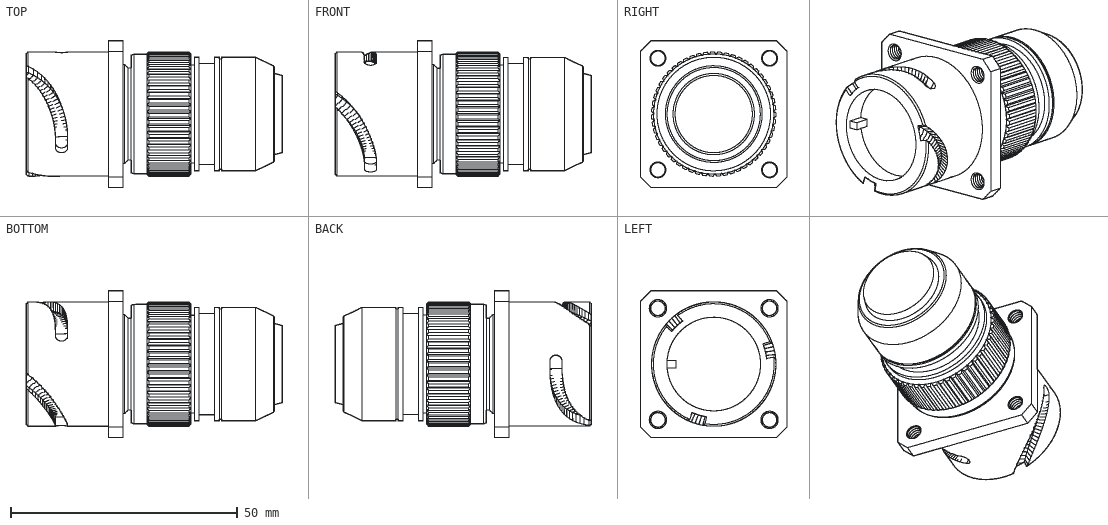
import cadquery as cq
import math

TOTAL_LENGTH = 56.6

SHELL_RADIUS = 13.75
SHELL_CHAMFER = 0.4
BORE_RADIUS = 10.35
BORE_DEPTH = 4.7
KEY_START = 1.25
KEY_TIP_RADIUS = 8.4
KEY_WIDTH = 1.65
KEY_ROOT_OVERLAP = 0.3

FLANGE_START = 18.15
FLANGE_END = 21.4
FLANGE_THICKNESS = FLANGE_END - FLANGE_START
FLANGE_SIDE = 32.5
FLANGE_CORNER = 2.4

HOLE_PITCH = 24.7
HOLE_RADIUS = 1.6
THREAD_RADIUS = 1.9
THREAD_PITCH = 0.7
THREAD_TURNS = math.ceil(FLANGE_THICKNESS / THREAD_PITCH)

FLANGE_BOSS_RADIUS = 11.0
FLANGE_BOSS_END = 21.75
NECK_TAPER_END = 22.5
NECK_RADIUS = 10.2
COLLAR_START = 23.2
COLLAR_RADIUS = 13.25
COLLAR_CHAMFER_LENGTH = 0.55
COLLAR_CHAMFER_DEPTH = 0.2

KNURL_START = 26.65
KNURL_END = 36.4
KNURL_CHAMFER = 0.45
KNURL_GROOVES = 55
KNURL_FIRST_ANGLE = 2.7
KNURL_GROOVE_DEPTH = 0.55
KNURL_GROOVE_WIDTH = 0.8

BACKSHELL_RADIUS = 12.55
BACKSHELL_NECK_RADIUS = 10.85
FRONT_RIB_START = 37.2
FRONT_RIB_END = 38.2
WAIST_RADIUS = 11.2
REAR_RIB_START = 41.6
REAR_RIB_END = 42.7
RELIEF_RADIUS = 12.2
BARREL_START = 43.2
BARREL_END = 50.7
TAPER_END = 54.6
TAPER_END_RADIUS = 10.7
TAIL_START = 54.9
TAIL_LIP_RADIUS = 10.3
TAIL_START_RADIUS = 9.0
TAIL_END_RADIUS = 8.55

SLOT_COUNT = 3
SLOT_WIDTH = 2.7
SLOT_FLOOR_RADIUS = 11.7
SLOT_HEIGHT = SHELL_RADIUS - SLOT_FLOOR_RADIUS + 0.55
SLOT_START_ANGLE = 45.7
SLOT_ARC_SWEEP = 69.0
SLOT_TOTAL_SWEEP = 77.0
SLOT_END_X = 7.8
SLOT_ARC_RADIUS = 21.5
SLOT_LEAD_IN = 8.0
SLOT_ARC_STEPS = 22
SLOT_OVERLAP = 0.2

X_AXIS = ((0, 0, 0), (1, 0, 0))


def revolve_profile(points):
    """Solid of revolution about X from an (x, radius) outline closed along the axis."""
    outline = [(points[0][0], 0)] + points + [(points[-1][0], 0)]
    return cq.Workplane("XY").polyline(outline).close().revolve(360, *X_AXIS)


def shell():
    body = revolve_profile([
        (0, SHELL_RADIUS - SHELL_CHAMFER),
        (SHELL_CHAMFER, SHELL_RADIUS),
        (FLANGE_START, SHELL_RADIUS),
    ])
    bore = cq.Workplane("YZ").circle(BORE_RADIUS).extrude(BORE_DEPTH)
    key_length = BORE_DEPTH - KEY_START
    key_height = BORE_RADIUS + KEY_ROOT_OVERLAP - KEY_TIP_RADIUS
    key = (
        cq.Workplane("XY")
        .box(key_length, key_height, KEY_WIDTH, centered=(False, False, True))
        .translate((KEY_START, KEY_TIP_RADIUS, 0))
    )
    return body.cut(bore).union(key)


def threaded_hole():
    """Cutter for one hole on the X axis, its wall a row of V grooves open at the front face."""
    points = [(FLANGE_START, THREAD_RADIUS)]
    for turn in range(THREAD_TURNS):
        root_x = FLANGE_START + turn * THREAD_PITCH
        points.append((root_x + THREAD_PITCH / 2, HOLE_RADIUS))
        points.append((root_x + THREAD_PITCH, THREAD_RADIUS))
    return revolve_profile(points)


def flange():
    plate = (
        cq.Workplane("YZ").workplane(offset=FLANGE_START)
        .rect(FLANGE_SIDE, FLANGE_SIDE).extrude(FLANGE_THICKNESS)
        .edges("|X").chamfer(FLANGE_CORNER)
    )
    hole = threaded_hole()
    for y_side in (-1, 1):
        for z_side in (-1, 1):
            plate = plate.cut(hole.translate((0, y_side * HOLE_PITCH / 2, z_side * HOLE_PITCH / 2)))
    return plate


def neck_and_collar():
    return revolve_profile([
        (FLANGE_START, FLANGE_BOSS_RADIUS),
        (FLANGE_BOSS_END, FLANGE_BOSS_RADIUS),
        (NECK_TAPER_END, NECK_RADIUS),
        (COLLAR_START, NECK_RADIUS),
        (COLLAR_START, COLLAR_RADIUS - COLLAR_CHAMFER_DEPTH),
        (COLLAR_START + COLLAR_CHAMFER_LENGTH, COLLAR_RADIUS),
        (KNURL_START, COLLAR_RADIUS),
    ])


def knurled_ring():
    ring = revolve_profile([
        (KNURL_START, SHELL_RADIUS - KNURL_CHAMFER),
        (KNURL_START + KNURL_CHAMFER, SHELL_RADIUS),
        (KNURL_END - KNURL_CHAMFER, SHELL_RADIUS),
        (KNURL_END, SHELL_RADIUS - KNURL_CHAMFER),
    ])
    root = SHELL_RADIUS - KNURL_GROOVE_DEPTH
    top = SHELL_RADIUS + KNURL_GROOVE_DEPTH
    groove = (
        cq.Workplane("YZ").workplane(offset=KNURL_START)
        .polyline([(root, 0), (top, KNURL_GROOVE_WIDTH), (top, -KNURL_GROOVE_WIDTH)]).close()
        .extrude(KNURL_END - KNURL_START).val()
    )
    step = 360 / KNURL_GROOVES
    grooves = [groove.rotate(*X_AXIS, KNURL_FIRST_ANGLE + i * step) for i in range(KNURL_GROOVES)]
    return cq.Workplane(ring.val().cut(*grooves))


def backshell():
    return revolve_profile([
        (KNURL_END, BACKSHELL_NECK_RADIUS),
        (FRONT_RIB_START, BACKSHELL_NECK_RADIUS),
        (FRONT_RIB_START, BACKSHELL_RADIUS),
        (FRONT_RIB_END, BACKSHELL_RADIUS),
        (FRONT_RIB_END, WAIST_RADIUS),
        (REAR_RIB_START, WAIST_RADIUS),
        (REAR_RIB_START, BACKSHELL_RADIUS),
        (REAR_RIB_END, BACKSHELL_RADIUS),
        (REAR_RIB_END, RELIEF_RADIUS),
        (BARREL_START, RELIEF_RADIUS),
        (BARREL_START, BACKSHELL_RADIUS),
        (BARREL_END, BACKSHELL_RADIUS),
        (TAPER_END, TAPER_END_RADIUS),
        (TAIL_START, TAIL_LIP_RADIUS),
        (TAIL_START, TAIL_START_RADIUS),
        (TOTAL_LENGTH, TAIL_END_RADIUS),
    ])


def slot_x(sweep):
    """Axial position of the slot's centre line after turning by `sweep` degrees."""
    remaining = SHELL_RADIUS * math.radians(max(SLOT_ARC_SWEEP - sweep, 0))
    return SLOT_END_X - SLOT_ARC_RADIUS + math.sqrt(SLOT_ARC_RADIUS**2 - remaining**2)


def slot_segment(start, end):
    """Flat-floored piece of the slot cutter between two sweep angles, counted from +Z."""
    rise = slot_x(end) - slot_x(start)
    run = SLOT_FLOOR_RADIUS * math.radians(end - start)
    length = math.hypot(rise, run) + SLOT_OVERLAP
    slant = math.degrees(math.atan2(rise, run))
    return (
        cq.Workplane("XY")
        .box(SLOT_WIDTH, length, SLOT_HEIGHT, centered=(True, True, False))
        .rotate((0, 0, 0), (0, 0, 1), slant)
        .translate(((slot_x(start) + slot_x(end)) / 2, 0, SLOT_FLOOR_RADIUS))
        .rotate(*X_AXIS, (start + end) / 2)
    )


def slot_cutter():
    """Cutter for one bayonet slot, entering at the mating face and ending in a round pocket."""
    step = (SLOT_ARC_SWEEP + SLOT_LEAD_IN) / SLOT_ARC_STEPS
    stations = [i * step - SLOT_LEAD_IN for i in range(SLOT_ARC_STEPS + 1)]
    stations.append(SLOT_TOTAL_SWEEP)
    cutter = (
        cq.Workplane("XY").workplane(offset=SLOT_FLOOR_RADIUS)
        .center(SLOT_END_X, 0).circle(SLOT_WIDTH / 2).extrude(SLOT_HEIGHT)
        .rotate(*X_AXIS, SLOT_TOTAL_SWEEP)
    )
    for start, end in zip(stations, stations[1:]):
        cutter = cutter.union(slot_segment(start, end))
    return cutter.rotate(*X_AXIS, SLOT_START_ANGLE - 90)


slotted_shell = shell()
slot = slot_cutter()
for i in range(SLOT_COUNT):
    slotted_shell = slotted_shell.cut(slot.rotate(*X_AXIS, i * 360 / SLOT_COUNT))

result = (
    slotted_shell
    .union(flange())
    .union(neck_and_collar())
    .union(knurled_ring())
    .union(backshell())
)